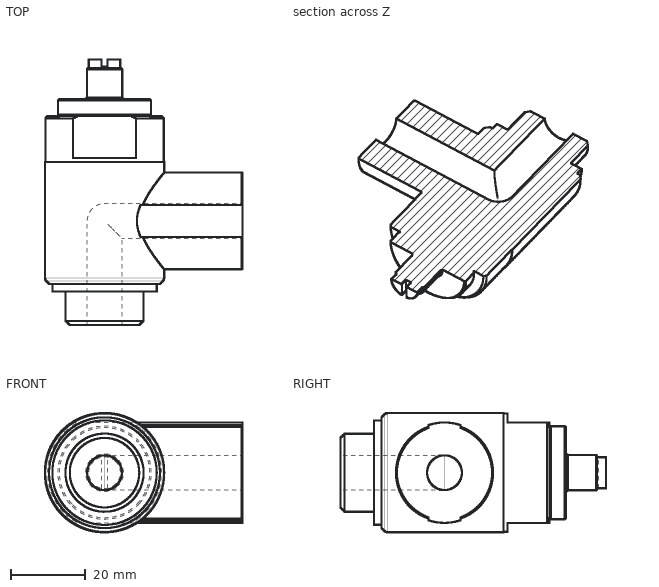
import cadquery as cq


port_face = -27.9
port_length = 9.0
ring_width = 2.0
body_length = 32.75
head_length = 12.25
collar_length = 4.5
stem_length = 8.3
tip_length = 2.4
ring_start = port_face + port_length
body_start = ring_start + ring_width
head_start = body_start + body_length
collar_start = head_start + head_length
stem_start = collar_start + collar_length
tip_start = stem_start + stem_length
tip_end = tip_start + tip_length

port_diameter = 20.95
port_chamfered_diameter = 18.63
ring_diameter = 28.0
body_diameter = 32.0
head_diameter = 31.8
collar_diameter = 25.0
stem_diameter = 9.5
tip_diameter = 8.5

port_chamfer = (port_diameter - port_chamfered_diameter) / 2
body_chamfer = 1.15
body_edge_radius = 1.2
head_chamfer = 0.65
collar_chamfer = 0.4
stem_chamfer = 0.3

foot_height = 0.45
foot_flare = 0.3

flats_across = 27.0
flat_length = 11.2
slot_width = 1.5
slot_depth = 2.0

branch_diameter = 26.0
branch_end = 37.0
branch_chamfer = 0.25
rib_diameter = 26.9
rib_width = 8.6

bore_diameter = 9.31


def turned_section(start, end, diameter):
    """Cylinder on the Y axis between two stations."""
    base = cq.Workplane("XZ", origin=(0, start, 0))
    return base.circle(diameter / 2).extrude(start - end)


def branch_section(diameter):
    """Cylinder on the X axis, from the body axis to the branch end."""
    return cq.Workplane("YZ").circle(diameter / 2).extrude(branch_end)


def make_spindle():
    port = turned_section(port_face, ring_start, port_diameter).faces("<Y").chamfer(port_chamfer)
    ring = turned_section(ring_start, body_start, ring_diameter)
    body = turned_section(body_start, head_start, body_diameter).faces("<Y").chamfer(body_chamfer)
    widest_edges = body.edges("%CIRCLE").edges(cq.selectors.RadiusNthSelector(-1))
    body = widest_edges.edges("<Y").fillet(body_edge_radius)
    return port.union(ring).union(body)


def make_head():
    head = turned_section(head_start, collar_start, head_diameter).faces(">Y").chamfer(head_chamfer)
    flat_center = collar_start - flat_length / 2
    cut_depth = (head_diameter - flats_across) / 2
    for side in (1, -1):
        cutter = cq.Workplane("XY").box(head_diameter, flat_length, cut_depth)
        head = head.cut(cutter.translate((0, flat_center, side * (flats_across + cut_depth) / 2)))
    return head


def make_stem_foot():
    """Cone that widens the stem toward the collar."""
    stem_radius = stem_diameter / 2
    foot_profile = (
        cq.Workplane("XY")
        .moveTo(0, stem_start)
        .lineTo(stem_radius + foot_flare, stem_start)
        .lineTo(stem_radius, stem_start + foot_height)
        .lineTo(0, stem_start + foot_height)
        .close()
    )
    return foot_profile.revolve(360, (0, 0, 0), (0, 1, 0))


def make_adjuster():
    collar = turned_section(collar_start, stem_start, collar_diameter)
    collar = collar.edges("%CIRCLE").chamfer(collar_chamfer)
    stem = turned_section(stem_start, tip_start, stem_diameter).faces(">Y").chamfer(stem_chamfer)
    tip = turned_section(tip_start, tip_end, tip_diameter)
    slot = cq.Workplane("XY").box(slot_width, slot_depth, tip_diameter)
    tip = tip.cut(slot.translate((0, tip_end - slot_depth / 2, 0)))
    return collar.union(make_stem_foot()).union(stem).union(tip)


def make_branch():
    tube = branch_section(branch_diameter).faces(">X").chamfer(branch_chamfer)
    rib_band = cq.Workplane("XY").box(branch_end, rib_width, rib_diameter)
    ribs = branch_section(rib_diameter).intersect(rib_band.translate((branch_end / 2, 0, 0)))
    return tube.union(ribs)


def make_elbow_bore():
    inlet = turned_section(port_face, 0, bore_diameter)
    outlet = branch_section(bore_diameter)
    corner = cq.Workplane("XZ").sphere(bore_diameter / 2)
    return inlet.union(outlet).union(corner)


turned_parts = make_spindle().union(make_head()).union(make_adjuster())
result = turned_parts.union(make_branch()).cut(make_elbow_bore())